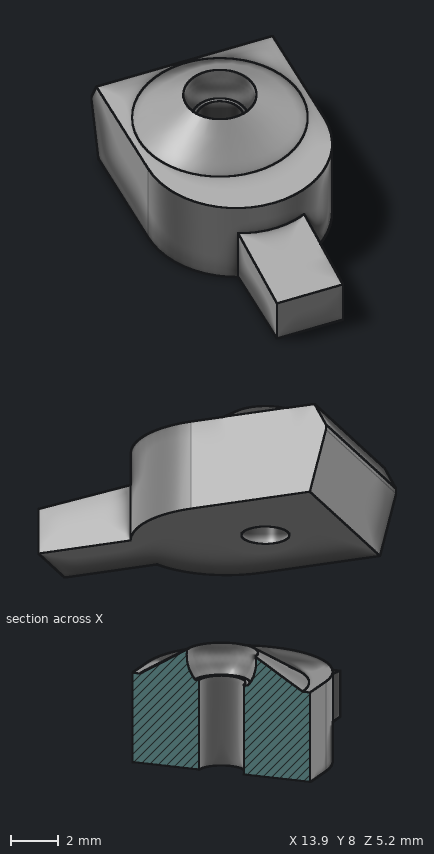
import cadquery as cq
import math

total_length = 13.9
body_width = 8.0
body_height = 3.9
rear_radius = body_width / 2
rear_center_x = 6.05
nose_bottom_inset = 0.72
nose_top_inset = 0.51
nose_flat_bottom = 2.68
nose_flat_top = 2.9

tail_width = 3.0
tail_root_height = 2.49
tail_end_height = 2.0

boss_center_x = 4.3
total_height = 5.2
boss_base_diameter = 7.34
seat_rim_diameter = 3.06
seat_floor_diameter = 2.36
hole_diameter = 2.0


def make_body():
    rear_end_x = rear_center_x + rear_radius
    plan = (
        cq.Workplane("XY")
        .moveTo(0, -rear_radius)
        .lineTo(rear_center_x, -rear_radius)
        .threePointArc((rear_end_x, 0), (rear_center_x, rear_radius))
        .lineTo(0, rear_radius)
        .close()
        .extrude(body_height)
    )
    side_profile = (
        cq.Workplane("XZ")
        .polyline([
            (nose_bottom_inset, 0),
            (rear_end_x, 0),
            (rear_end_x, body_height),
            (nose_top_inset, body_height),
            (0, nose_flat_top),
            (0, nose_flat_bottom),
        ])
        .close()
        .extrude(body_width / 2, both=True)
    )
    return plan.intersect(side_profile)


def make_tail():
    half_width = tail_width / 2
    root_x = rear_center_x + math.sqrt(rear_radius**2 - half_width**2)
    return (
        cq.Workplane("XZ")
        .polyline([
            (root_x, 0),
            (total_length, 0),
            (total_length, tail_end_height),
            (root_x, tail_root_height),
        ])
        .close()
        .extrude(half_width, both=True)
    )


def make_boss():
    profile = (
        cq.Workplane("XZ")
        .polyline([
            (0, body_height),
            (boss_base_diameter / 2, body_height),
            (seat_rim_diameter / 2, total_height),
            (0, total_height),
        ])
        .close()
    )
    return profile.revolve(360, (0, 0), (0, 1)).translate((boss_center_x, 0, 0))


def make_bore():
    rim_radius = seat_rim_diameter / 2
    floor_radius = seat_floor_diameter / 2
    seat_depth = total_height - body_height
    center_above_floor = (seat_depth**2 + rim_radius**2 - floor_radius**2) / (2 * seat_depth)
    sphere_radius = math.hypot(floor_radius, center_above_floor)
    sphere_center_z = body_height + center_above_floor
    seat = (
        cq.Workplane("XZ")
        .moveTo(0, body_height)
        .lineTo(floor_radius, body_height)
        .threePointArc((sphere_radius, sphere_center_z), (rim_radius, total_height))
        .lineTo(0, total_height)
        .close()
        .revolve(360, (0, 0), (0, 1))
    )
    hole = cq.Workplane("XY").circle(hole_diameter / 2).extrude(total_height)
    return seat.union(hole).translate((boss_center_x, 0, 0))


result = make_body().union(make_tail()).union(make_boss()).cut(make_bore())